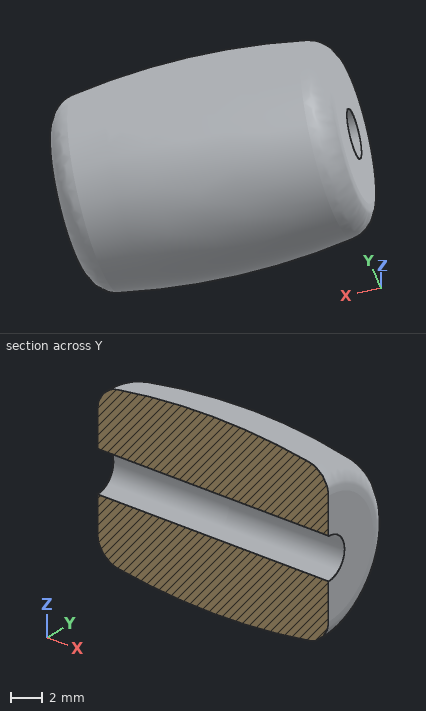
import cadquery as cq

length = 19.0
middle_diameter = 14.48
end_diameter = 12.54
edge_radius = 2.0
bore_diameter = 3.3

half_length = length / 2
middle_radius = middle_diameter / 2
end_radius = end_diameter / 2


def barrel():
    """Solid of revolution about X whose side bulges in a single arc."""
    return (
        cq.Workplane("XY")
        .moveTo(-half_length, 0)
        .lineTo(-half_length, end_radius)
        .threePointArc((0, middle_radius), (half_length, end_radius))
        .lineTo(half_length, 0)
        .close()
        .revolve(360, (0, 0, 0), (1, 0, 0))
    )


def bore():
    """Axial through hole."""
    return cq.Workplane("YZ").circle(bore_diameter / 2).extrude(half_length, both=True)


rounded_barrel = barrel().faces("<X or >X").edges("%CIRCLE").fillet(edge_radius)
result = rounded_barrel.cut(bore())